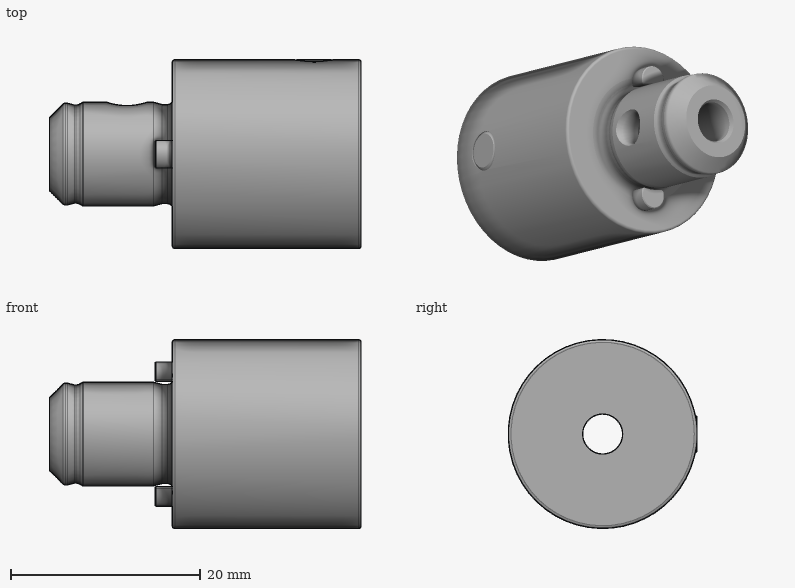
import cadquery as cq
import math


total_length = 33.0
head_radius = 10.0
head_start = 13.0
head_edge_fillet = 0.3
bore_radius = 2.1
mouth_radius = 2.35
mouth_half_angle = math.radians(30)

shank_radius = 5.5
tip_face_radius = 3.85
tip_land_radius = 5.4
tip_round = 0.4
tip_angle = math.radians(45)
tip_land_end = 1.9

run_in_angle = math.radians(15)
front_groove_radius = 5.2
front_floor_end = 2.83
front_exit_round = 0.8
front_exit_angle = math.radians(30)
rear_groove_start = 11.0
rear_groove_radius = 5.25
rear_floor_end = 12.5
rear_exit_round = 0.6
face_relief_angle = math.radians(8)

seat_x = 8.2
seat_mouth_radius = 2.15
seat_depth = 2.0
seat_half_angle = math.radians(30)

plug_x = 28.0
plug_radius = 2.1
plug_depth = 5.0
plug_end_chamfer = 0.3

peg_radius = 1.45
peg_center_z = 6.2
peg_start = 11.2
peg_length = 5.0
peg_shank_side_radius = 5.65
peg_corner_fillet = 0.3
peg_end_chamfer = 0.1


def arc_point(center_x, center_r, radius, angle):
    """Point on a profile arc; angle is measured from +X towards larger radius."""
    return (center_x + radius * math.cos(angle), center_r + radius * math.sin(angle))


def turned_blank():
    tip_center_r = tip_land_radius - tip_round
    cone_end_r = tip_center_r + tip_round * math.cos(tip_angle)
    cone_end_x = (cone_end_r - tip_face_radius) / math.tan(tip_angle)
    tip_center_x = cone_end_x + tip_round * math.sin(tip_angle)
    tip_arc_mid = arc_point(tip_center_x, tip_center_r, tip_round, (math.pi + tip_angle) / 2)

    front_floor_start = tip_land_end + (tip_land_radius - front_groove_radius) / math.tan(run_in_angle)
    front_center_r = front_groove_radius + front_exit_round
    bottom = -math.pi / 2
    front_arc_mid = arc_point(
        front_floor_end, front_center_r, front_exit_round, bottom + front_exit_angle / 2
    )
    front_arc_end = arc_point(front_floor_end, front_center_r, front_exit_round, bottom + front_exit_angle)
    shank_start = front_arc_end[0] + (shank_radius - front_arc_end[1]) / math.tan(front_exit_angle)

    rear_floor_start = rear_groove_start + (shank_radius - rear_groove_radius) / math.tan(run_in_angle)
    rear_center_r = rear_groove_radius + rear_exit_round
    rear_arc_mid = arc_point(
        rear_floor_end, rear_center_r, rear_exit_round, (bottom + face_relief_angle) / 2
    )
    rear_arc_end = arc_point(rear_floor_end, rear_center_r, rear_exit_round, face_relief_angle)
    relief_radius = rear_arc_end[1] + (rear_arc_end[0] - head_start) / math.tan(face_relief_angle)

    profile = (
        cq.Workplane("XY")
        .moveTo(0, 0)
        .lineTo(0, tip_face_radius)
        .lineTo(cone_end_x, cone_end_r)
        .threePointArc(tip_arc_mid, (tip_center_x, tip_land_radius))
        .lineTo(tip_land_end, tip_land_radius)
        .lineTo(front_floor_start, front_groove_radius)
        .lineTo(front_floor_end, front_groove_radius)
        .threePointArc(front_arc_mid, front_arc_end)
        .lineTo(shank_start, shank_radius)
        .lineTo(rear_groove_start, shank_radius)
        .lineTo(rear_floor_start, rear_groove_radius)
        .lineTo(rear_floor_end, rear_groove_radius)
        .threePointArc(rear_arc_mid, rear_arc_end)
        .lineTo(head_start, relief_radius)
        .lineTo(head_start, head_radius)
        .lineTo(total_length, head_radius)
        .lineTo(total_length, 0)
        .close()
    )
    blank = profile.revolve(360, (0, 0, 0), (1, 0, 0))
    head_rims = cq.selectors.RadiusNthSelector(-1)
    return blank.edges("%CIRCLE").edges(head_rims).fillet(head_edge_fillet)


def bore_cutter():
    mouth_depth = (mouth_radius - bore_radius) / math.tan(mouth_half_angle)
    return (
        cq.Workplane("XY")
        .polyline([
            (0, 0),
            (0, mouth_radius),
            (mouth_depth, bore_radius),
            (total_length, bore_radius),
            (total_length, 0),
        ])
        .close()
        .revolve(360, (0, 0, 0), (1, 0, 0))
    )


def seat_cutter():
    """Tapered seat sunk into the shank from +Y, narrowing towards the axis."""
    floor_radius = seat_mouth_radius - seat_depth * math.tan(seat_half_angle)
    seat = cq.Solid.makeCone(
        seat_mouth_radius,
        floor_radius,
        seat_depth,
        pnt=cq.Vector(seat_x, shank_radius, 0),
        dir=cq.Vector(0, -1, 0),
    )
    return cq.Workplane("XY").newObject([seat])


def plug_cylinder():
    """Full cylinder along Y, used for both the plug and its hole."""
    return (
        cq.Workplane("XZ", origin=(plug_x, head_radius, 0))
        .circle(plug_radius)
        .extrude(plug_depth)
    )


def peg_blank():
    """Upper peg: a round pin hollowed on its inner side to clear the shank."""
    pin = cq.Workplane("YZ", origin=(peg_start, 0, 0)).center(0, peg_center_z).circle(peg_radius)
    clearance = cq.Workplane("YZ", origin=(peg_start, 0, 0)).circle(peg_shank_side_radius)
    peg = pin.extrude(peg_length).cut(clearance.extrude(peg_length))
    inner_corners = cq.selectors.BoxSelector(
        (peg_start, -2 * peg_radius, 0),
        (peg_start + peg_length, 2 * peg_radius, peg_shank_side_radius),
    )
    return peg.edges("|X").edges(inner_corners).fillet(peg_corner_fillet)


def make_peg(turn):
    return peg_blank().faces("<X").edges().chamfer(peg_end_chamfer).rotate((0, 0, 0), (1, 0, 0), turn)


def make_plug():
    """Plug with a flat, chamfered outer end level with the crown of the head."""
    return plug_cylinder().faces(">Y").edges().chamfer(plug_end_chamfer)


def make_spindle(pegs):
    spindle = turned_blank().cut(bore_cutter())
    spindle = spindle.cut(seat_cutter())
    spindle = spindle.cut(plug_cylinder())
    for peg in pegs:
        spindle = spindle.cut(peg)
    return spindle


pegs = [make_peg(turn) for turn in (0, 180)]
plug = make_plug()
spindle = make_spindle(pegs)

result = cq.Compound.makeCompound([spindle.val(), plug.val(), *[peg.val() for peg in pegs]])